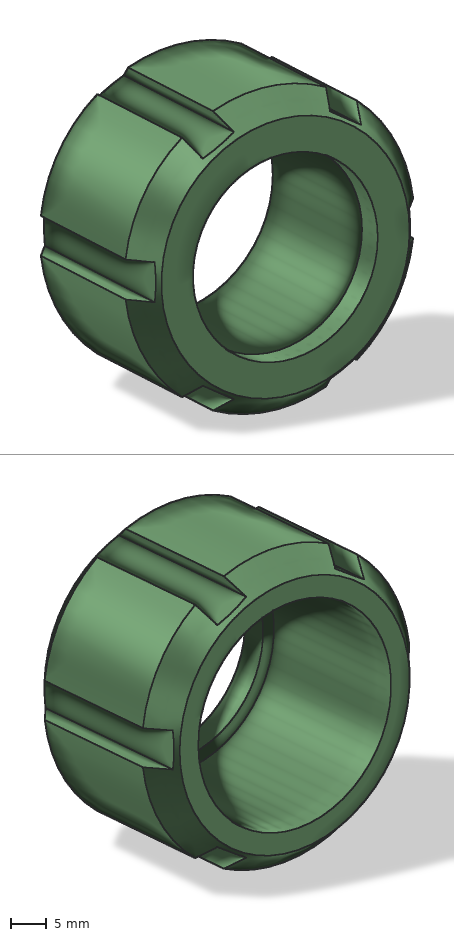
import cadquery as cq

outer_diameter = 47.85
length = 30.0
face_diameter = 40.95
chamfer_length = 4.1

bore_diameter = 34.35
lip_diameter = 30.5
lip_length = 4.0

slot_count = 6
slot_width = 5.9
slot_floor_distance = 21.0

outer_radius = outer_diameter / 2
half_length = length / 2
shoulder_x = half_length - chamfer_length


def turned_body():
    """Revolve the half profile, chamfered at both ends, about X."""
    face_radius = face_diameter / 2
    bore_radius = bore_diameter / 2
    lip_radius = lip_diameter / 2
    lip_x = half_length - lip_length
    profile = [
        (-half_length, bore_radius),
        (-half_length, face_radius),
        (-shoulder_x, outer_radius),
        (shoulder_x, outer_radius),
        (half_length, face_radius),
        (half_length, lip_radius),
        (lip_x, lip_radius),
        (lip_x, bore_radius),
    ]
    return cq.Workplane("XY").polyline(profile).close().revolve(360, (0, 0, 0), (1, 0, 0))


def slot_cutter(angle):
    """Flat-floored cutter, turned about X by the given angle."""
    cutter_height = outer_radius
    return (
        cq.Workplane("XY")
        .box(length, cutter_height, slot_width)
        .translate((0, slot_floor_distance + cutter_height / 2, 0))
        .rotate((0, 0, 0), (1, 0, 0), angle)
    )


result = turned_body()
for slot_index in range(slot_count):
    result = result.cut(slot_cutter(slot_index * 360 / slot_count))